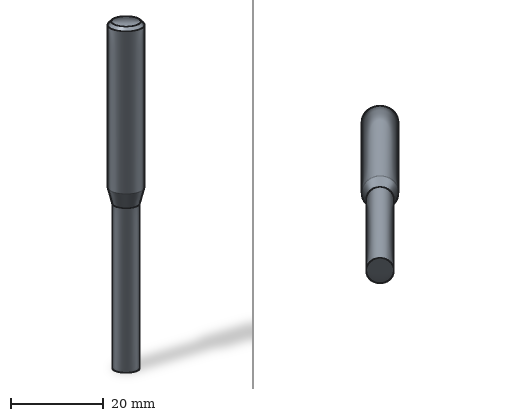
import cadquery as cq
import math

total_length = 80.0
shank_diameter = 8.0
rod_diameter = 6.0

rod_length = 38.0
taper_half_angle = 15.0
top_chamfer = 0.8

shank_radius = shank_diameter / 2
rod_radius = rod_diameter / 2
taper_length = (shank_radius - rod_radius) / math.tan(math.radians(taper_half_angle))


def make_rod():
    """Plain slim cylinder standing on the base plane."""
    return cq.Workplane("XY").circle(rod_radius).extrude(rod_length)


def make_shank():
    """Thick upper part, tapering down to the rod and chamfered at the top."""
    taper_top = rod_length + taper_length
    half_profile = (
        cq.Workplane("XZ")
        .moveTo(0, rod_length)
        .lineTo(rod_radius, rod_length)
        .lineTo(shank_radius, taper_top)
        .lineTo(shank_radius, total_length - top_chamfer)
        .lineTo(shank_radius - top_chamfer, total_length)
        .lineTo(0, total_length)
        .close()
    )
    return half_profile.revolve(360, (0, 0), (0, 1))


rod = make_rod()
shank = make_shank()

result = cq.Compound.makeCompound([rod.val(), shank.val()])